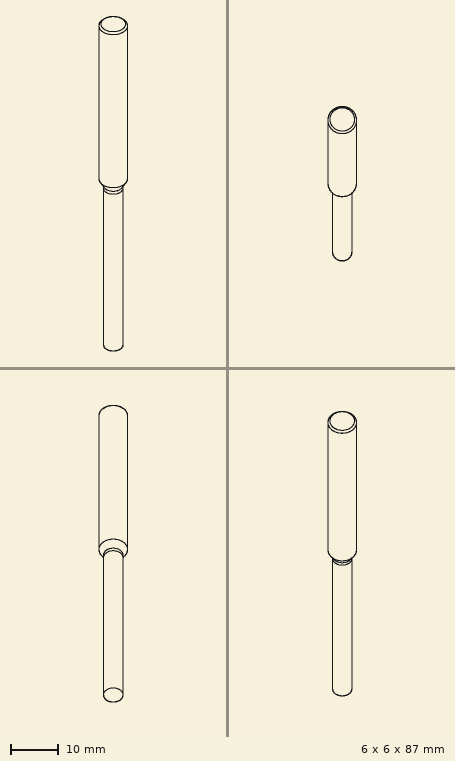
import cadquery as cq
import math

total_length = 87.0
shank_diameter = 6.0
drill_diameter = 4.1
point_angle = 118.0
joint_height = 43.15
collar_length = 0.8
taper_length = 1.7
top_chamfer = 0.4

shank_radius = shank_diameter / 2
drill_radius = drill_diameter / 2
point_height = drill_radius / math.tan(math.radians(point_angle / 2))
taper_start = joint_height + collar_length
taper_end = taper_start + taper_length


def revolve_about_axis(profile):
    """Turn a closed (radius, height) profile about the Z axis."""
    return cq.Workplane("XZ").polyline(profile).close().revolve(360, (0, 0), (0, 1))


def make_drill():
    """Slim cylinder with a conical point at its lower end."""
    return revolve_about_axis([
        (0, 0),
        (drill_radius, point_height),
        (drill_radius, joint_height),
        (0, joint_height),
    ])


def make_shank():
    """Thick cylinder with a chamfered top, tapering down to a short collar."""
    return revolve_about_axis([
        (0, joint_height),
        (drill_radius, joint_height),
        (drill_radius, taper_start),
        (shank_radius, taper_end),
        (shank_radius, total_length - top_chamfer),
        (shank_radius - top_chamfer, total_length),
        (0, total_length),
    ])


drill = make_drill()
shank = make_shank()

result = cq.Compound.makeCompound([drill.val(), shank.val()])